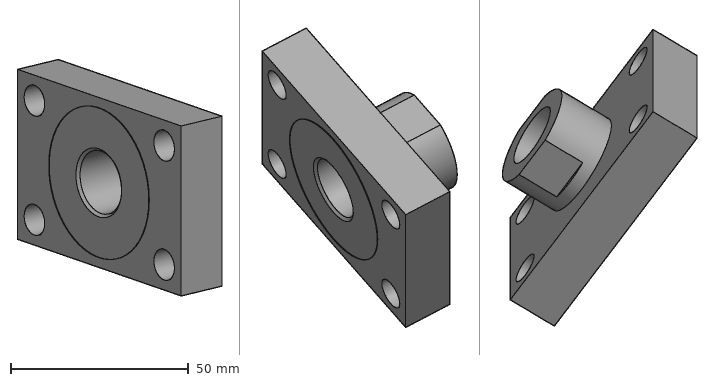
import cadquery as cq

plate_width = 72.0
plate_height = 50.0
plate_thickness = 15.0
hole_diameter = 9.0
hole_spacing_x = 57.0
hole_spacing_z = 35.0

pad_diameter = 44.0
pad_height = 0.2

total_depth = 32.0
boss_diameter = 30.0
boss_length = total_depth - plate_thickness - pad_height
across_flats = 27.0
flat_length = 12.75

bore_diameter = 18.35
bore_mouth_diameter = 20.0
bore_chamfer = (bore_mouth_diameter - bore_diameter) / 2

front_y = -pad_height
back_y = plate_thickness + boss_length


def cylinder(diameter, start_y, length):
    """Cylinder about the Y axis, running from start_y towards +Y."""
    return cq.Workplane("XZ", origin=(0, start_y, 0)).circle(diameter / 2).extrude(-length)


def make_plate():
    plate = cq.Workplane("XZ").rect(plate_width, plate_height).extrude(-plate_thickness)
    holes = (
        cq.Workplane("XZ")
        .rect(hole_spacing_x, hole_spacing_z, forConstruction=True)
        .vertices()
        .circle(hole_diameter / 2)
        .extrude(-plate_thickness)
    )
    return plate.cut(holes)


def make_boss():
    round_length = boss_length - flat_length
    base = cylinder(boss_diameter, plate_thickness, round_length)
    flats_envelope = (
        cq.Workplane("XZ", origin=(0, plate_thickness + round_length, 0))
        .rect(boss_diameter, across_flats)
        .extrude(-flat_length)
    )
    end = cylinder(boss_diameter, plate_thickness + round_length, flat_length).intersect(flats_envelope)
    return base.union(end)


def make_bore():
    straight = cylinder(bore_diameter, front_y, back_y - front_y)
    mouth = cq.Workplane(
        cq.Solid.makeCone(
            bore_mouth_diameter / 2,
            bore_diameter / 2,
            bore_chamfer,
            cq.Vector(0, front_y, 0),
            cq.Vector(0, 1, 0),
        )
    )
    return straight.union(mouth)


pad = cylinder(pad_diameter, front_y, pad_height)
result = make_plate().union(pad).union(make_boss()).cut(make_bore())